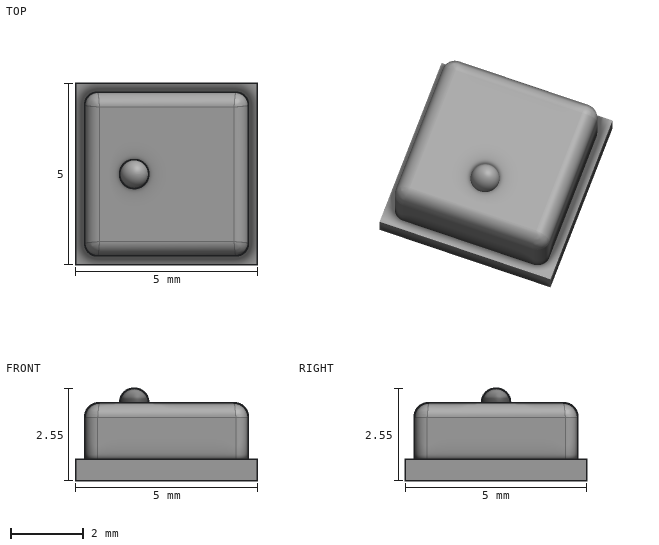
import cadquery as cq

base_side = 5.0
base_thickness = 0.6

cap_side = 4.5
cap_height = 1.55
cap_corner_radius = 0.35
cap_top_radius = 0.4

dot_radius = 0.4
dot_x = -0.89

cap_top_z = base_thickness + cap_height


def make_base():
    return cq.Workplane("XY").box(base_side, base_side, base_thickness, centered=(True, True, False))


def make_cap():
    block = (
        cq.Workplane("XY")
        .workplane(offset=base_thickness)
        .box(cap_side, cap_side, cap_height, centered=(True, True, False))
    )
    return block.edges("|Z").fillet(cap_corner_radius).faces(">Z").edges().fillet(cap_top_radius)


def make_dot():
    return cq.Workplane("XY").sphere(dot_radius).translate((dot_x, 0, cap_top_z))


result = make_base().union(make_cap()).union(make_dot())